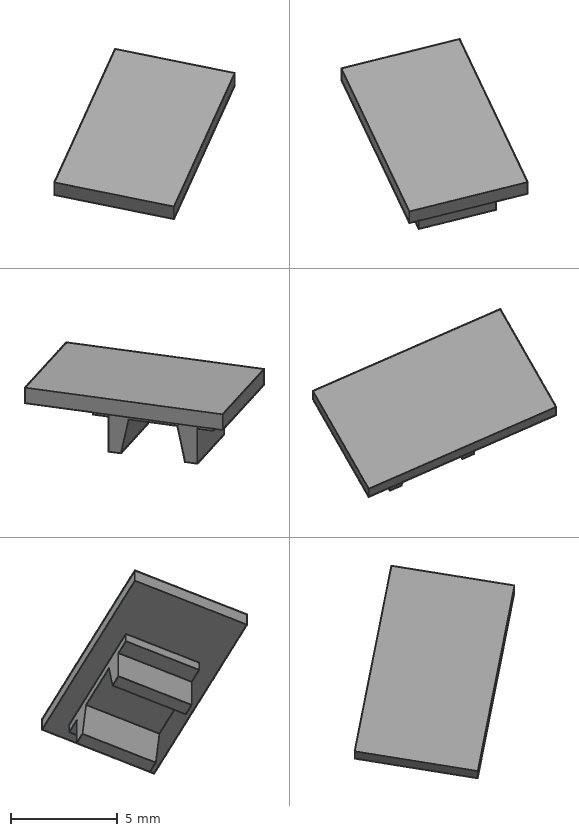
import cadquery as cq

plate_width = 5.85
plate_length = 9.8
plate_thickness = 0.79
total_height = 3.13

pad_width = 3.82
pad_length = 5.98
pad_thickness = 0.56
pad_center_y = 1.09

leg_span = 4.41
leg_root = 1.0
leg_tip = 0.62

plate_bottom = total_height - plate_thickness
pad_bottom = plate_bottom - pad_thickness


def make_leg(side):
    """Tapered leg on the +Y (side = 1) or -Y (side = -1) half of the pad."""
    outer_y = pad_center_y + side * leg_span / 2
    root_y = outer_y - side * leg_root
    tip_y = outer_y - side * leg_tip
    profile = [
        (outer_y, 0),
        (outer_y, plate_bottom),
        (root_y, plate_bottom),
        (root_y, pad_bottom),
        (tip_y, 0),
    ]
    return cq.Workplane("YZ").polyline(profile).close().extrude(pad_width / 2, both=True)


plate = (
    cq.Workplane("XY")
    .workplane(offset=plate_bottom)
    .rect(plate_width, plate_length)
    .extrude(plate_thickness)
)
pad = (
    cq.Workplane("XY")
    .workplane(offset=pad_bottom)
    .center(0, pad_center_y)
    .rect(pad_width, pad_length)
    .extrude(pad_thickness)
)

result = plate.union(pad)
for side in (-1, 1):
    result = result.union(make_leg(side))
result = result.clean()